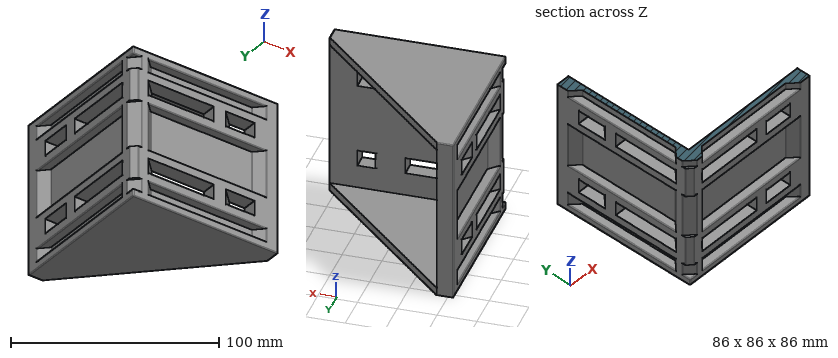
import cadquery as cq

SIZE = 86.0
LEG_THICKNESS = 8.2
PLATE_THICKNESS = 4.2
EDGE_RADIUS = 0.5

OUTER_POCKET_HEIGHT = 7.3
CENTRE_POCKET_HEIGHT = 26.5
MID_HEIGHT = SIZE / 2
BOTTOM_BAND = (PLATE_THICKNESS, PLATE_THICKNESS + OUTER_POCKET_HEIGHT)
CENTRE_BAND = (MID_HEIGHT - CENTRE_POCKET_HEIGHT / 2, MID_HEIGHT + CENTRE_POCKET_HEIGHT / 2)
TOP_BAND = (SIZE - BOTTOM_BAND[1], SIZE - BOTTOM_BAND[0])
POCKET_BANDS = (BOTTOM_BAND, CENTRE_BAND, TOP_BAND)

POCKET_START = 9.0
POCKET_END = 79.0
POCKET_DEPTH = 5.0

SLOT_HEIGHT = 8.4
SLOT_SPANS = ((8.8, 47.9), (54.8, 72.0))
RIB_CENTRE = (BOTTOM_BAND[1] + CENTRE_BAND[0]) / 2
SLOT_CENTRES = (RIB_CENTRE, SIZE - RIB_CENTRE)

DEEP_BEVEL = 5.0
SHALLOW_BEVEL = 3.0
BEVEL_STEP_LEVELS = (BOTTOM_BAND[1], *CENTRE_BAND, TOP_BAND[0])

TOLERANCE = 0.01


def prism(points, bottom, top):
    """Upright prism over a plan outline."""
    plan = cq.Workplane("XY").workplane(offset=bottom)
    return plan.polyline(points).close().extrude(top - bottom)


def both_legs(points, bottom, top):
    """Prism placed on the leg along X and, with X and Y swapped, on the leg along Y."""
    swapped = [(y, x) for x, y in points]
    return prism(points, bottom, top).union(prism(swapped, bottom, top))


def close_to(a, b):
    return abs(a - b) < TOLERANCE


def block():
    """Triangular block with its two sharp tips cut off square."""
    outline = [
        (0, 0),
        (SIZE, 0),
        (SIZE, LEG_THICKNESS),
        (LEG_THICKNESS, SIZE),
        (0, SIZE),
    ]
    return prism(outline, 0, SIZE)


def corner_bevel(setback, band):
    outline = [(0, 0), (setback, 0), (0, setback)]
    return prism(outline, *band)


def pockets(band):
    outline = [
        (POCKET_START, 0),
        (POCKET_END, 0),
        (POCKET_END - POCKET_DEPTH, POCKET_DEPTH),
        (POCKET_START + POCKET_DEPTH, POCKET_DEPTH),
    ]
    return both_legs(outline, *band)


def slots(start, end, centre):
    """The far end is square to the leg, the end nearer the corner slopes at 45 degrees."""
    outline = [
        (start, 0),
        (end, 0),
        (end, LEG_THICKNESS),
        (start + LEG_THICKNESS, LEG_THICKNESS),
    ]
    return both_legs(outline, centre - SLOT_HEIGHT / 2, centre + SLOT_HEIGHT / 2)


def cavity():
    """Space between the legs and the end plates, open along the sloping side."""
    outline = [
        (LEG_THICKNESS, LEG_THICKNESS),
        (SIZE, LEG_THICKNESS),
        (LEG_THICKNESS, SIZE),
    ]
    return prism(outline, PLATE_THICKNESS, SIZE - PLATE_THICKNESS)


def is_sharp(edge):
    """True for edges of the sloping side and of the steps in the corner bevel."""
    middle = edge.Center()
    on_sloping_side = close_to(middle.x + middle.y, SIZE + LEG_THICKNESS)
    at_step_level = any(close_to(middle.z, level) for level in BEVEL_STEP_LEVELS)
    on_bevel = middle.x + middle.y < DEEP_BEVEL
    return on_sloping_side or (at_step_level and on_bevel)


def is_pocket_floor_end(edge):
    """True for an upright edge between a pocket floor and a sloping pocket end."""
    middle = edge.Center()
    at_floor = close_to(min(middle.x, middle.y), POCKET_DEPTH)
    return at_floor and max(middle.x, middle.y) > POCKET_START


def round_edges(body):
    outside = body.faces("<X or <Y or >X or >Y").edges().vals()
    rims = [edge for edge in outside if not is_sharp(edge)]
    floor_ends = [edge for edge in body.edges("|Z").vals() if is_pocket_floor_end(edge)]
    return body.newObject(rims + floor_ends).fillet(EDGE_RADIUS)


body = block().cut(corner_bevel(SHALLOW_BEVEL, (BOTTOM_BAND[0], TOP_BAND[1])))
for band in POCKET_BANDS:
    body = body.cut(corner_bevel(DEEP_BEVEL, band))
    body = body.cut(pockets(band))
body = round_edges(body)

body = body.cut(cavity())
for centre in SLOT_CENTRES:
    for start, end in SLOT_SPANS:
        body = body.cut(slots(start, end, centre))

result = body